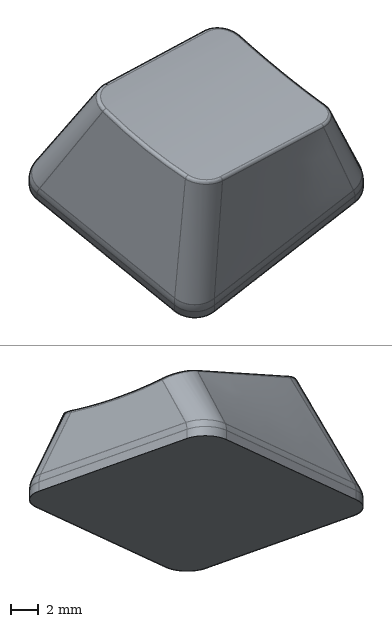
import cadquery as cq
import math

base_size = 18.16
base_corner_radius = 2.02
skirt_height = 0.73

shoulder_height = 0.58
shoulder_inset_side = 0.13
shoulder_inset_front = 0.13
shoulder_inset_back = 0.02

top_width = 12.02
top_front_y = -5.05
top_back_y = 8.65
top_corner_radius = 1.9
top_tilt = 16.2
top_front_height = 9.93

dish_depth = 0.47
dish_overrun = 3.63
top_edge_radius = 0.27

tilt = math.radians(top_tilt)
top_length = (top_back_y - top_front_y) / math.cos(tilt)
top_center_y = (top_front_y + top_back_y) / 2
top_center_height = top_front_height - (top_center_y - top_front_y) * math.tan(tilt)
dish_radius = ((top_width / 2) ** 2 + dish_depth**2) / (2 * dish_depth)


def rounded_wire(plane, width, length, corner_radius):
    """Rounded rectangle centred on the plane's origin."""
    x = width / 2
    y = length / 2
    straight_x = x - corner_radius
    straight_y = y - corner_radius
    bend_x = straight_x + corner_radius * math.sqrt(0.5)
    bend_y = straight_y + corner_radius * math.sqrt(0.5)
    return (
        cq.Workplane(plane)
        .moveTo(-straight_x, -y)
        .lineTo(straight_x, -y)
        .threePointArc((bend_x, -bend_y), (x, -straight_y))
        .lineTo(x, straight_y)
        .threePointArc((bend_x, bend_y), (straight_x, y))
        .lineTo(-straight_x, y)
        .threePointArc((-bend_x, bend_y), (-x, straight_y))
        .lineTo(-x, -straight_y)
        .threePointArc((-bend_x, -bend_y), (-straight_x, -y))
        .close()
        .val()
    )


def make_skirt():
    outline = rounded_wire(cq.Plane.XY(), base_size, base_size, base_corner_radius)
    return cq.Workplane().add(outline).toPending().extrude(skirt_height)


def shoulder_outline(rise):
    """Outline at a fraction of the shoulder height; its inset grows with the square of the rise."""
    bend = rise**2
    width = base_size - 2 * shoulder_inset_side * bend
    length = base_size - (shoulder_inset_front + shoulder_inset_back) * bend
    center_y = (shoulder_inset_front - shoulder_inset_back) / 2 * bend
    plane = cq.Plane(origin=(0, center_y, skirt_height + rise * shoulder_height))
    return rounded_wire(plane, width, length, base_corner_radius)


def make_shoulder():
    """Smooth band that leaves the skirt vertically and leans into the walls."""
    outlines = [shoulder_outline(0), shoulder_outline(0.5), shoulder_outline(1)]
    return cq.Workplane(cq.Solid.makeLoft(outlines))


def make_walls(top_plane):
    """Sloping walls from the shoulder up to the tilted top outline."""
    upper = rounded_wire(top_plane, top_width, top_length, top_corner_radius)
    return cq.Workplane(cq.Solid.makeLoft([shoulder_outline(1), upper], True))


def make_dish(top_plane):
    """Cylinder that meets the top plane along both side edges."""
    length = top_length + 2 * dish_overrun
    axis_start = top_plane.toWorldCoords((0, -length / 2, dish_radius - dish_depth))
    return cq.Workplane(cq.Solid.makeCylinder(dish_radius, length, axis_start, top_plane.yDir))


top_plane = cq.Plane(
    origin=(0, top_center_y, top_center_height),
    xDir=(1, 0, 0),
    normal=(0, math.sin(tilt), math.cos(tilt)),
)

body = make_skirt().union(make_shoulder()).union(make_walls(top_plane))
body = body.cut(make_dish(top_plane))

result = body.faces("%CYLINDER").faces(">Z").edges().fillet(top_edge_radius)